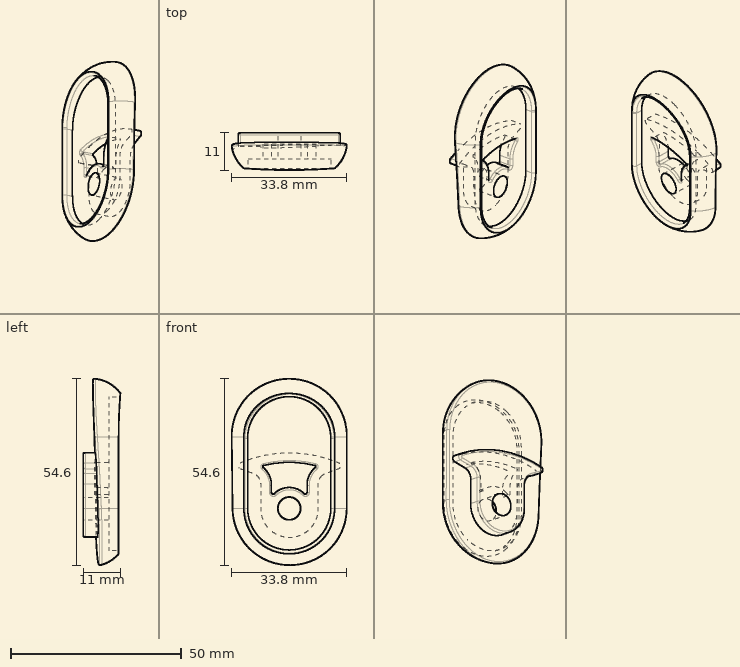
import cadquery as cq
import math


BODY_RADIUS = 16.97
BODY_CENTRE_RISE = 21.04
CROWN_MID = (15.55, 2.8)
CROWN_FRONT = (12.5, -0.5)
BODY_REAR_Y = 9.0
BACK_FILLET = 0.6

FLAT_FRONT_Y = 0.12
FRONT_BEND_Z = BODY_CENTRE_RISE
FRONT_TOP_Z = 35.0
LIP_RISE = 0.63

LEFT_RAIL = [(42.0, 7.65), (30.0, 7.6), (16.5, 6.85), (3.4, 6.15), (-9.7, 5.65), (-20.0, 5.2)]
RIGHT_RAIL = [(42.0, 7.65), (30.0, 7.6), (16.5, 7.15), (3.4, 7.0), (-9.7, 6.9), (-20.0, 6.5)]

RECESS_RADIUS = 12.17
RECESS_CENTRE_RISE = 20.55
RECESS_DEPTH = 3.0
RIM_FILLET = 0.85

BOSS_REAR_Y = 10.57
BOSS_RADIUS = 8.4
BOSS_NECK_TOP_Z = 7.2
BOSS_FLARE_RISE = 3.1
BOSS_TIP_SLOPE = 20.0
BOSS_SHARP_TIP_X = 16.5
BOSS_TIP_RADIUS = 0.95
BOSS_TOP_Z = 16.35
BOSS_EDGE_FILLET = 0.6
BOSS_ROOT_Y = 4.0

POCKET_DEPTH = 4.3
POCKET_INNER_RADIUS = 6.15
POCKET_HALF_WIDTH = 5.2
POCKET_NECK_TOP_Z = 6.85
POCKET_TIP = (8.15, 12.4)
POCKET_TOP_Z = 13.5
POCKET_TIP_RADIUS = 0.3
POCKET_FOOT_RADIUS = 0.5
POCKET_EDGE_FILLET = 0.6

HOLE_DIAMETER = 6.6
CLEARANCE = 5.0
RAIL_OVERHANG = 0.1
SELECT_MARGIN = 0.1


def front_plane(y):
    """Sketch plane at depth y, with local axes X and Z; extruding by -d goes d towards +Y."""
    return cq.Workplane("XZ", origin=(0, y, 0))


def crown_profile():
    """Half section of the body, from the axis of its lower end to the crowned side."""
    return (
        cq.Workplane("XY")
        .moveTo(0, CROWN_FRONT[1])
        .lineTo(*CROWN_FRONT)
        .threePointArc(CROWN_MID, (BODY_RADIUS, BODY_REAR_Y))
        .lineTo(0, BODY_REAR_Y)
        .close()
    )


def crowned_stadium():
    side = crown_profile().extrude(BODY_CENTRE_RISE)
    lower_end = crown_profile().revolve(180, (0, 0, 0), (0, 1, 0))
    upper_end = lower_end.mirror("XY").translate((0, 0, BODY_CENTRE_RISE))
    return side.union(side.mirror("YZ")).union(lower_end).union(upper_end).clean()


def front_trim():
    """Everything in front of the flat-then-curved front surface."""
    rise = FRONT_TOP_Z - FRONT_BEND_Z
    bend_radius = (rise**2 + LIP_RISE**2) / (2 * LIP_RISE)
    half_angle = math.asin(rise / bend_radius) / 2
    bend_mid = (
        FLAT_FRONT_Y - bend_radius * (1 - math.cos(half_angle)),
        FRONT_BEND_Z + bend_radius * math.sin(half_angle),
    )
    front_y = FLAT_FRONT_Y - LIP_RISE
    low = -BODY_RADIUS - CLEARANCE
    return (
        cq.Workplane("YZ")
        .moveTo(FLAT_FRONT_Y, low)
        .lineTo(FLAT_FRONT_Y, FRONT_BEND_Z)
        .threePointArc(bend_mid, (front_y, FRONT_TOP_Z))
        .lineTo(front_y, FRONT_TOP_Z + BODY_RADIUS)
        .lineTo(-CLEARANCE, FRONT_TOP_Z + BODY_RADIUS)
        .lineTo(-CLEARANCE, low)
        .close()
        .extrude(BODY_RADIUS + CLEARANCE, both=True)
    )


def back_trim():
    """Everything behind the twisted back surface."""
    rails = []
    for x, rail in ((-BODY_RADIUS, LEFT_RAIL), (BODY_RADIUS, RIGHT_RAIL)):
        rail_x = x + math.copysign(RAIL_OVERHANG, x)
        rails.append(cq.Edge.makeSpline([cq.Vector(rail_x, y, z) for z, y in rail]))
    surface = cq.Face.makeRuledSurface(*rails)
    return cq.Workplane(cq.Solid.extrudeLinear(surface, cq.Vector(0, CLEARANCE, 0)))


def pad():
    body = crowned_stadium().cut(front_trim()).cut(back_trim())
    return body.faces(">Y").edges().fillet(BACK_FILLET)


def recess():
    length = RECESS_CENTRE_RISE + 2 * RECESS_RADIUS
    return (
        front_plane(-CLEARANCE)
        .center(0, RECESS_CENTRE_RISE / 2)
        .slot2D(length, 2 * RECESS_RADIUS, 90)
        .extrude(-CLEARANCE - RECESS_DEPTH)
    )


def boss():
    turn = math.radians(90 - BOSS_TIP_SLOPE)
    flare_radius = BOSS_FLARE_RISE / math.sin(turn)
    neck = (BOSS_RADIUS, BOSS_NECK_TOP_Z)
    flare_mid = (
        neck[0] + flare_radius * (1 - math.cos(turn / 2)),
        neck[1] + flare_radius * math.sin(turn / 2),
    )
    flare_end = (neck[0] + flare_radius * (1 - math.cos(turn)), neck[1] + BOSS_FLARE_RISE)
    slope = math.tan(math.radians(BOSS_TIP_SLOPE))
    tip = (BOSS_SHARP_TIP_X, flare_end[1] + slope * (BOSS_SHARP_TIP_X - flare_end[0]))
    block = (
        front_plane(BOSS_ROOT_Y)
        .moveTo(-BOSS_RADIUS, 0)
        .threePointArc((0, -BOSS_RADIUS), (BOSS_RADIUS, 0))
        .lineTo(*neck)
        .threePointArc(flare_mid, flare_end)
        .lineTo(*tip)
        .threePointArc((0, BOSS_TOP_Z), (-tip[0], tip[1]))
        .lineTo(-flare_end[0], flare_end[1])
        .threePointArc((-flare_mid[0], flare_mid[1]), (-neck[0], neck[1]))
        .close()
        .extrude(BOSS_ROOT_Y - BOSS_REAR_Y)
    )
    block = block.edges("|Y").edges("<X or >X").fillet(BOSS_TIP_RADIUS)
    return block.faces(">Y").edges().fillet(BOSS_EDGE_FILLET)


def arc_mid(start, centre_x, centre_z, end):
    """Point on the short arc from start to end about the centre, halfway round."""
    dx = (start[0] + end[0]) / 2 - centre_x
    dz = (start[1] + end[1]) / 2 - centre_z
    radius = math.hypot(start[0] - centre_x, start[1] - centre_z)
    scale = radius / math.hypot(dx, dz)
    return (centre_x + dx * scale, centre_z + dz * scale)


def pocket():
    foot = (POCKET_HALF_WIDTH, math.sqrt(POCKET_INNER_RADIUS**2 - POCKET_HALF_WIDTH**2))
    neck = (POCKET_HALF_WIDTH, POCKET_NECK_TOP_Z)
    run = POCKET_TIP[0] - neck[0]
    rise = POCKET_TIP[1] - neck[1]
    flare_radius = (run**2 + rise**2) / (2 * run)
    flare_mid = arc_mid(neck, neck[0] + flare_radius, neck[1], POCKET_TIP)
    block = (
        front_plane(RECESS_DEPTH)
        .moveTo(-foot[0], foot[1])
        .threePointArc((0, POCKET_INNER_RADIUS), foot)
        .lineTo(*neck)
        .threePointArc(flare_mid, POCKET_TIP)
        .threePointArc((0, POCKET_TOP_Z), (-POCKET_TIP[0], POCKET_TIP[1]))
        .threePointArc((-flare_mid[0], flare_mid[1]), (-neck[0], neck[1]))
        .close()
        .extrude(-POCKET_DEPTH)
    )
    for (x, z), radius in ((foot, POCKET_FOOT_RADIUS), (POCKET_TIP, POCKET_TIP_RADIUS)):
        for side in (-x, x):
            around = cq.selectors.BoxSelector(
                (side - SELECT_MARGIN, 0, z - SELECT_MARGIN),
                (side + SELECT_MARGIN, BOSS_REAR_Y, z + SELECT_MARGIN),
            )
            block = block.edges("|Y").edges(around).fillet(radius)
    return block


def hole():
    return front_plane(-CLEARANCE).circle(HOLE_DIAMETER / 2).extrude(-BOSS_REAR_Y - 2 * CLEARANCE)


def round_recess_rim(part):
    reach = RECESS_RADIUS + SELECT_MARGIN
    rim = cq.selectors.BoxSelector(
        (-reach, -CLEARANCE, -reach),
        (reach, RECESS_DEPTH / 2, RECESS_CENTRE_RISE + reach),
        boundingbox=True,
    )
    return part.edges(rim).fillet(RIM_FILLET)


def round_pocket_mouth(part):
    """Round the edge where the pocket opens into the recess floor."""
    reach = RECESS_RADIUS + SELECT_MARGIN
    floor_box = cq.selectors.BoxSelector(
        (-reach, RECESS_DEPTH - SELECT_MARGIN, -reach),
        (reach, RECESS_DEPTH + SELECT_MARGIN, RECESS_CENTRE_RISE + reach),
    )
    mouth = part.faces(floor_box).val().innerWires()[0]
    return part.newObject(mouth.Edges()).fillet(POCKET_EDGE_FILLET)


result = pad().union(boss()).cut(recess())
result = round_recess_rim(result)
result = round_pocket_mouth(result.cut(pocket()))
result = result.cut(hole())